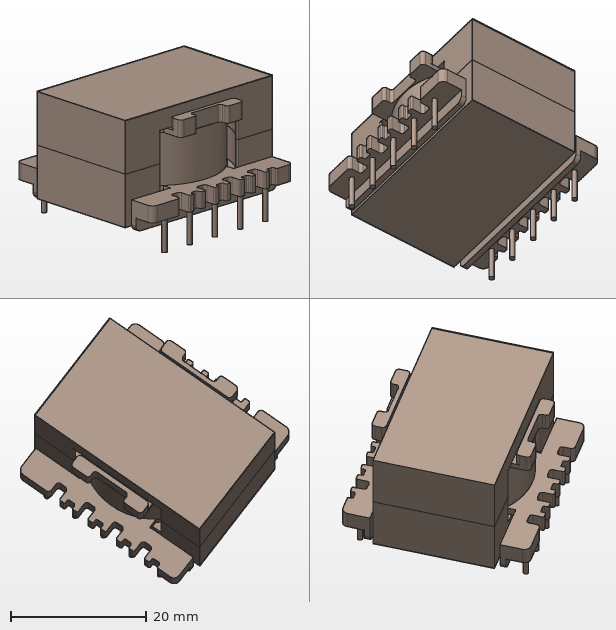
import cadquery as cq


OUTER_LENGTH = 30.3
TAPE_THICKNESS = 0.1
CORE_WIDTH = 18.8
CORE_LENGTH = OUTER_LENGTH - 2 * TAPE_THICKNESS
CORE_HALF_HEIGHT = 8.33
WINDOW_HALF_HEIGHT = 5.18
WINDOW_RADIUS = 12.0
LEG_CORNER_RADIUS = 0.25
POST_RADIUS = 6.0

FLANGE_RADIUS = 10.8
TUBE_RADIUS = 6.85
UPPER_FLANGE_THICKNESS = 0.85
LOWER_FLANGE_THICKNESS = 1.2
BRIDGE_WIDTH = 12.97
WINDING_TOP = WINDOW_HALF_HEIGHT - UPPER_FLANGE_THICKNESS
WINDING_BOTTOM = LOWER_FLANGE_THICKNESS - WINDOW_HALF_HEIGHT

WINDING_RADIUS = 10.7

HOOK_INNER_X = 10.05
HOOK_OUTER_X = 12.27
HOOK_TOP = 7.05
HOOK_CORNER_RADIUS = 0.6
RECESS_WIDTH = 6.18
RECESS_CORNER_RADIUS = 0.48

PLATE_INNER_X = HOOK_INNER_X
PLATE_OUTER_X = 29.05 / 2
PLATE_LENGTH = 28.9
PLATE_HEIGHT = 2.67
PLATE_BOTTOM = WINDING_BOTTOM - PLATE_HEIGHT
PLATE_CORNER_RADIUS = 1.0
RAIL_THICKNESS = 0.88
RAIL_DROP = 2.18
RAIL_CORNER_RADIUS = 1.0

PIN_PITCH = 5.18
PINS_PER_SIDE = 5
PIN_RADIUS = 0.41
PIN_X = 12.82
PIN_LENGTH = 5.73
SLOT_WIDTH = 1.82
SLOT_END_X = 12.35
SLOT_INNER_RADIUS = 0.48
SLOT_END_BLOCK_RADIUS = 0.6
NOTCH_WIDTH = 1.33
NOTCH_END_X = 13.7
SMALL_RADIUS = 0.25

TOLERANCE = 0.003


def centred_positions(count, pitch):
    return [(i - (count - 1) / 2) * pitch for i in range(count)]


PIN_POSITIONS = centred_positions(PINS_PER_SIDE, PIN_PITCH)
SLOT_POSITIONS = centred_positions(PINS_PER_SIDE - 1, PIN_PITCH)


def box(x_range, y_range, z_range):
    """Box given by its limits along each axis."""
    sizes = [high - low for low, high in (x_range, y_range, z_range)]
    corner = (x_range[0], y_range[0], z_range[0])
    return cq.Workplane("XY").box(*sizes, centered=False).translate(corner)


def cylinder(radius, bottom, top):
    return cq.Workplane("XY").workplane(offset=bottom).circle(radius).extrude(top - bottom)


def round_upright_edges(body, radius, is_wanted):
    """Fillet the upright edges whose |x| and y satisfy is_wanted(x, y)."""

    def accept(edge):
        middle = edge.Center()
        return is_wanted(abs(middle.x), middle.y)

    return body.edges("|Z").filter(accept).fillet(radius)


def same(a, b):
    return abs(a - b) < TOLERANCE


def make_upper_core():
    half_width = CORE_WIDTH / 2
    half_length = CORE_LENGTH / 2
    core = box((-half_width, half_width), (-half_length, half_length), (0, CORE_HALF_HEIGHT))
    window = cylinder(WINDOW_RADIUS, 0, WINDOW_HALF_HEIGHT)
    core = core.cut(window)
    core = round_upright_edges(
        core, LEG_CORNER_RADIUS, lambda x, y: same(x, half_width) and abs(y) < WINDOW_RADIUS
    )
    post = cylinder(POST_RADIUS, 0, WINDOW_HALF_HEIGHT)
    return core.union(post)


def make_lower_core():
    return make_upper_core().mirror("XY")


def make_tape():
    """Strip over the top of the core and down both of its ends, flush with the core bottom."""
    x_range = (-CORE_WIDTH / 2, CORE_WIDTH / 2)
    outer_end = OUTER_LENGTH / 2
    inner_end = CORE_LENGTH / 2
    top = CORE_HALF_HEIGHT + TAPE_THICKNESS
    outer = box(x_range, (-outer_end, outer_end), (-CORE_HALF_HEIGHT, top))
    inner = box(x_range, (-inner_end, inner_end), (-CORE_HALF_HEIGHT, CORE_HALF_HEIGHT))
    return outer.cut(inner)


def make_winding():
    coil = cylinder(WINDING_RADIUS, WINDING_BOTTOM, WINDING_TOP)
    return coil.cut(cylinder(TUBE_RADIUS, WINDING_BOTTOM, WINDING_TOP))


def make_spool():
    """Tube with its two flanges, each with a bridge out of the core window."""
    half_bridge = BRIDGE_WIDTH / 2
    spool = cylinder(TUBE_RADIUS, -WINDOW_HALF_HEIGHT, WINDOW_HALF_HEIGHT)
    for bottom, top in [(-WINDOW_HALF_HEIGHT, WINDING_BOTTOM), (WINDING_TOP, WINDOW_HALF_HEIGHT)]:
        bridge = box((-FLANGE_RADIUS, FLANGE_RADIUS), (-half_bridge, half_bridge), (bottom, top))
        spool = spool.union(cylinder(FLANGE_RADIUS, bottom, top)).union(bridge)
    return spool.cut(cylinder(POST_RADIUS, -WINDOW_HALF_HEIGHT, WINDOW_HALF_HEIGHT))


def make_hook():
    """Upright block at the +X end of the upper flange, with a recess in its outer face."""
    half_bridge = BRIDGE_WIDTH / 2
    half_recess = RECESS_WIDTH / 2
    levels = (WINDING_TOP, HOOK_TOP)
    hook = box((HOOK_INNER_X, HOOK_OUTER_X), (-half_bridge, half_bridge), levels)
    hook = hook.cut(box((FLANGE_RADIUS, HOOK_OUTER_X), (-half_recess, half_recess), levels))
    hook = round_upright_edges(hook, HOOK_CORNER_RADIUS, lambda x, y: same(abs(y), half_bridge))
    return round_upright_edges(hook, RECESS_CORNER_RADIUS, lambda x, y: same(abs(y), half_recess))


def make_plate(notch_positions):
    """Terminal plate at +X: wire slots between the pins and a notch at each listed position."""
    half_length = PLATE_LENGTH / 2
    levels = (PLATE_BOTTOM, WINDING_BOTTOM)
    plate = box((PLATE_INNER_X, PLATE_OUTER_X), (-half_length, half_length), levels)

    for positions, width, end_x in [
        (SLOT_POSITIONS, SLOT_WIDTH, SLOT_END_X),
        (notch_positions, NOTCH_WIDTH, NOTCH_END_X),
    ]:
        for y in positions:
            plate = plate.cut(box((end_x, PLATE_OUTER_X), (y - width / 2, y + width / 2), levels))

    plate = round_upright_edges(plate, SLOT_INNER_RADIUS, lambda x, y: same(x, SLOT_END_X))
    plate = round_upright_edges(plate, SMALL_RADIUS, lambda x, y: same(x, NOTCH_END_X))

    end_block_y = SLOT_POSITIONS[-1] + SLOT_WIDTH / 2
    notched_end = max(notch_positions) > end_block_y

    def is_plate_end(x, y):
        return same(x, PLATE_OUTER_X) and same(abs(y), half_length)

    def is_plain_block(x, y):
        is_plain = y < 0 or not notched_end
        return same(x, PLATE_OUTER_X) and same(abs(y), end_block_y) and is_plain

    def is_tooth(x, y):
        reach = half_length - PLATE_CORNER_RADIUS if notched_end and y > 0 else end_block_y
        return same(x, PLATE_OUTER_X) and abs(y) < reach - TOLERANCE

    plate = round_upright_edges(plate, PLATE_CORNER_RADIUS, is_plate_end)
    plate = round_upright_edges(plate, SLOT_END_BLOCK_RADIUS, is_plain_block)
    return round_upright_edges(plate, SMALL_RADIUS, is_tooth)


def make_rail():
    """Downward rail along the inner edge of the +X plate, rounded at both lower ends."""
    half_length = PLATE_LENGTH / 2
    rail = box(
        (PLATE_INNER_X, PLATE_INNER_X + RAIL_THICKNESS),
        (-half_length, half_length),
        (PLATE_BOTTOM - RAIL_DROP, WINDING_BOTTOM),
    )
    return rail.edges("|X and <Z").fillet(RAIL_CORNER_RADIUS)


def make_pins():
    """Row of pins under the +X plate."""
    places = [(PIN_X, y) for y in PIN_POSITIONS]
    underside = cq.Workplane("XY").workplane(offset=PLATE_BOTTOM)
    return underside.pushPoints(places).circle(PIN_RADIUS).extrude(-PIN_LENGTH)


def make_bobbin():
    right_notches = PIN_POSITIONS[1:]
    left_notches = PIN_POSITIONS[1:-1]
    common_side = make_hook().union(make_rail()).union(make_pins())
    right_side = common_side.union(make_plate(right_notches))
    left_side = common_side.union(make_plate(left_notches)).mirror("YZ")
    return make_spool().union(right_side).union(left_side)


upper_core = make_upper_core()
lower_core = make_lower_core()
bobbin = make_bobbin()
winding = make_winding()
tape = make_tape()

result = cq.Compound.makeCompound(
    [upper_core.val(), lower_core.val(), bobbin.val(), winding.val(), tape.val()]
)